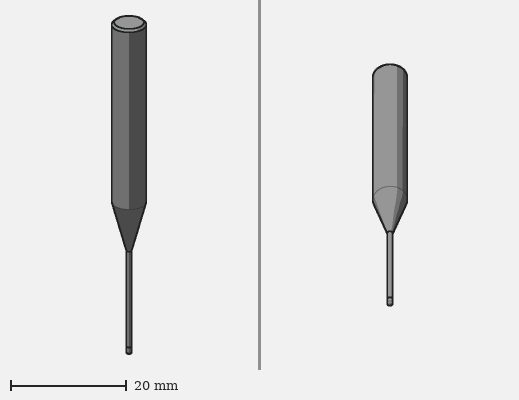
import cadquery as cq
import math

total_length = 64.0
shank_radius = 6.0 / 2
chamfer_size = 0.45

neck_radius = 0.95 / 2
neck_top = 20.0
cone_half_angle = 15.0
cone_length = (shank_radius - neck_radius) / math.tan(math.radians(cone_half_angle))
cone_top = neck_top + cone_length

tip_radius = 1.0 / 2
tip_top = 1.5


def make_shank():
    """Cylindrical shank with a chamfered rear end and a cone down to the neck."""
    return (
        cq.Workplane("XZ")
        .moveTo(0, neck_top)
        .lineTo(neck_radius, neck_top)
        .lineTo(shank_radius, cone_top)
        .lineTo(shank_radius, total_length - chamfer_size)
        .lineTo(shank_radius - chamfer_size, total_length)
        .lineTo(0, total_length)
        .close()
        .revolve(360, (0, 0, 0), (0, 1, 0))
    )


def make_neck():
    """Plain cylinder between the cutting tip and the cone."""
    return cq.Workplane("XY").workplane(offset=tip_top).circle(neck_radius).extrude(neck_top - tip_top)


def make_cutting_tip():
    """Short cylinder ending in a hemispherical nose."""
    nose_middle = tip_radius * math.sqrt(0.5)
    return (
        cq.Workplane("XZ")
        .moveTo(0, 0)
        .threePointArc((nose_middle, tip_radius - nose_middle), (tip_radius, tip_radius))
        .lineTo(tip_radius, tip_top)
        .lineTo(0, tip_top)
        .close()
        .revolve(360, (0, 0, 0), (0, 1, 0))
    )


shank = make_shank()
neck = make_neck()
cutting_tip = make_cutting_tip()

result = cq.Compound.makeCompound([shank.val(), neck.val(), cutting_tip.val()])